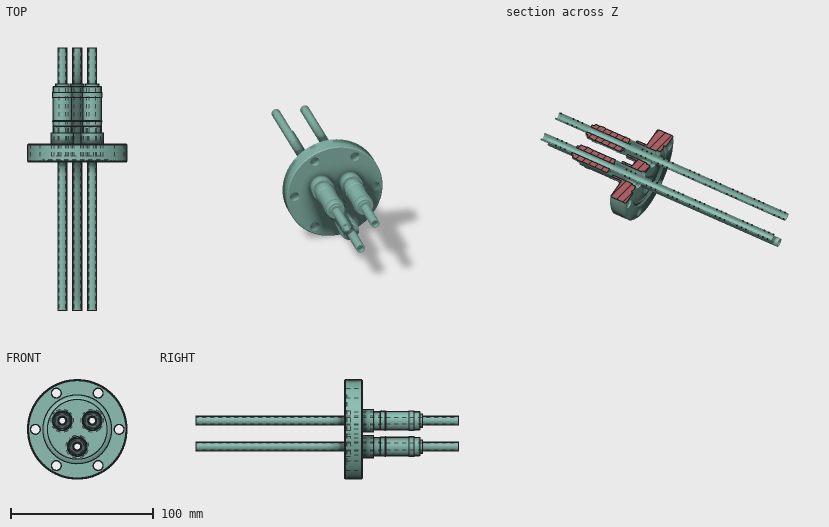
import cadquery as cq
import math


FLANGE_DIAMETER = 69.85
FLANGE_THICKNESS = 12.7
FLANGE_CHAMFER = 0.76
FLANGE_FRONT = -FLANGE_THICKNESS
BOLT_COUNT = 6
BOLT_CIRCLE_DIAMETER = 58.7
BOLT_HOLE_DIAMETER = 6.7

RECESS_DIAMETER = 48.3
KNIFE_EDGE_DIAMETER = 41.9
KNIFE_EDGE_DEPTH = 0.65
KNIFE_EDGE_ANGLE = 20.0
RECESS_FLOOR_DEPTH = 1.3

FEEDTHROUGH_COUNT = 3
FEEDTHROUGH_CIRCLE_RADIUS = 12.1

TUBE_LENGTH = 184.15
TUBE_OUTER_DIAMETER = 6.35
TUBE_INNER_DIAMETER = 4.75
TUBE_BACK = 67.4
TUBE_FRONT = TUBE_BACK - TUBE_LENGTH

COLLAR_DIAMETER = 15.9
COLLAR_END = 7.8
SLEEVE_DIAMETER = 12.9
CUP_DIAMETER = 13.4
CUP_START = 12.4
CUP_SHOULDER_LENGTH = 0.4
CUP_RIM_DIAMETER = 13.8
CUP_RIM = 16.1
CUP_FLARE_LENGTH = 0.4
CERAMIC_DIAMETER = 13.1
CERAMIC_START = 16.5
BAND_DIAMETER = 13.8
BAND_START = 32.8
BAND_END = 36.1
CAP_END = 40.5
CAP_FILLET = 0.8
NECK_DIAMETER = 9.5
NECK_END = 42.2

BORE_DIAMETER = 13.9
BORE_DEPTH = 3.0
SLEEVE_BORE_DIAMETER = 12.0
SLEEVE_BORE_END = CUP_START + CUP_SHOULDER_LENGTH
NOSE_DIAMETER = 11.8
NOSE_LENGTH = 0.65
NOSE_FILLET = 0.6
SHELF = FLANGE_FRONT + RECESS_FLOOR_DEPTH + BORE_DEPTH


def rod(diameter, start, end):
    """Solid cylinder on the Y axis between two Y positions."""
    plane = cq.Plane(origin=(0, start, 0), xDir=(0, 0, 1), normal=(0, 1, 0))
    return cq.Workplane(plane).circle(diameter / 2).extrude(end - start)


def cone(start_diameter, end_diameter, start, end):
    """Solid cone frustum on the Y axis between two Y positions."""
    base = cq.Vector(0, start, 0)
    axis = cq.Vector(0, 1, 0)
    frustum = cq.Solid.makeCone(start_diameter / 2, end_diameter / 2, end - start, base, axis)
    return cq.Workplane(obj=frustum)


def place_feedthroughs(shape):
    """Copies of an on-axis shape moved to every feedthrough position."""
    copies = cq.Workplane("XY")
    for index in range(FEEDTHROUGH_COUNT):
        angle = math.radians(-90 + 360 * index / FEEDTHROUGH_COUNT)
        x = FEEDTHROUGH_CIRCLE_RADIUS * math.cos(angle)
        z = FEEDTHROUGH_CIRCLE_RADIUS * math.sin(angle)
        copies = copies.add(shape.translate((x, 0, z)))
    return copies.combine()


def sealing_recess():
    """Recess volume: the ring outside the knife edge slopes deeper toward its rim."""
    knife_radius = KNIFE_EDGE_DIAMETER / 2
    recess_radius = RECESS_DIAMETER / 2
    slope_drop = (recess_radius - knife_radius) * math.tan(math.radians(KNIFE_EDGE_ANGLE))
    knife_tip = FLANGE_FRONT + KNIFE_EDGE_DEPTH
    floor = FLANGE_FRONT + RECESS_FLOOR_DEPTH
    profile = (
        cq.Workplane("XY")
        .moveTo(0, FLANGE_FRONT)
        .lineTo(recess_radius, FLANGE_FRONT)
        .lineTo(recess_radius, knife_tip + slope_drop)
        .lineTo(knife_radius, knife_tip)
        .lineTo(knife_radius, floor)
        .lineTo(0, floor)
        .close()
    )
    return profile.revolve(360, (0, 0, 0), (0, 1, 0))


def flange():
    """Round flange with a bolt circle and the sealing recess."""
    disc = rod(FLANGE_DIAMETER, FLANGE_FRONT, 0).edges().chamfer(FLANGE_CHAMFER)
    bolt_holes = (
        cq.Workplane("XZ")
        .polarArray(BOLT_CIRCLE_DIAMETER / 2, 0, 360, BOLT_COUNT)
        .circle(BOLT_HOLE_DIAMETER / 2)
        .extrude(FLANGE_THICKNESS)
    )
    return disc.cut(bolt_holes).cut(sealing_recess())


def cup():
    """Flared metal cup that holds the -Y end of the ceramic."""
    shoulder_end = CUP_START + CUP_SHOULDER_LENGTH
    flare_start = CUP_RIM - CUP_FLARE_LENGTH
    shoulder = cone(SLEEVE_DIAMETER, CUP_DIAMETER, CUP_START, shoulder_end)
    wall = rod(CUP_DIAMETER, shoulder_end, flare_start)
    flare = cone(CUP_DIAMETER, CUP_RIM_DIAMETER, flare_start, CUP_RIM)
    rim = cone(CUP_RIM_DIAMETER, CERAMIC_DIAMETER, CUP_RIM, CERAMIC_START)
    return shoulder.union(wall).union(flare).union(rim)


def insulator():
    """Collar, sleeve, cup, ceramic, band, rounded cap and neck, as one solid stack."""
    collar = rod(COLLAR_DIAMETER, SHELF, COLLAR_END)
    sleeve = rod(SLEEVE_DIAMETER, COLLAR_END, CUP_START)
    ceramic = rod(CERAMIC_DIAMETER, CERAMIC_START, BAND_START)
    band = rod(BAND_DIAMETER, BAND_START, BAND_END)
    cap = rod(SLEEVE_DIAMETER, BAND_END, CAP_END).faces(">Y").edges().fillet(CAP_FILLET)
    neck = rod(NECK_DIAMETER, CAP_END, NECK_END)
    stack = collar
    for section in (sleeve, cup(), ceramic, band, cap, neck):
        stack = stack.union(section)
    return stack


def inner_cavity():
    """Stepped bore around the tube, ending at a round nose with a filleted edge."""
    bore = rod(BORE_DIAMETER, FLANGE_FRONT, SHELF)
    sleeve_bore = rod(SLEEVE_BORE_DIAMETER, SHELF, SLEEVE_BORE_END)
    nose = rod(NOSE_DIAMETER, SLEEVE_BORE_END - NOSE_LENGTH, SLEEVE_BORE_END)
    nose = nose.faces("<Y").edges().fillet(NOSE_FILLET)
    return bore.union(sleeve_bore.cut(nose))


tube = rod(TUBE_OUTER_DIAMETER, TUBE_FRONT, TUBE_BACK)
tube_bore = rod(TUBE_INNER_DIAMETER, TUBE_FRONT, TUBE_BACK)

result = flange().union(place_feedthroughs(insulator()))
result = result.cut(place_feedthroughs(inner_cavity()))
result = result.union(place_feedthroughs(tube))
result = result.cut(place_feedthroughs(tube_bore))